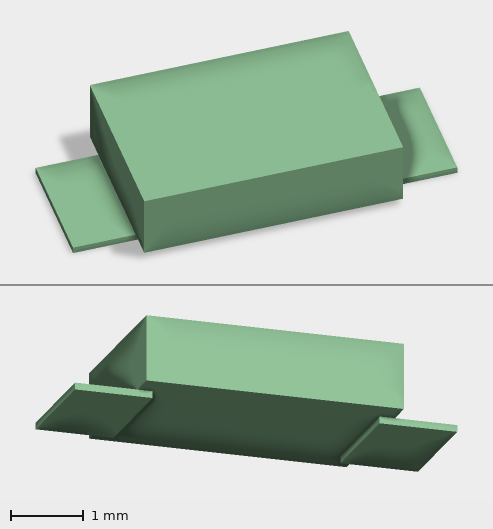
import cadquery as cq

overall_length = 5.52
overall_height = 1.05

lead_width = 1.715
lead_length = 1.12
lead_thickness = 0.1

housing_width = 2.5
housing_length = 3.72
housing_height = overall_height - lead_thickness


def make_housing():
    """Plain block centred in X and Y, with its underside on top of the leads."""
    return (
        cq.Workplane("XY")
        .workplane(offset=lead_thickness)
        .rect(housing_width, housing_length)
        .extrude(housing_height)
    )


def make_lead(side):
    """Flat strip at one end; side is -1 for the -Y end and +1 for the +Y end."""
    center_y = side * (overall_length - lead_length) / 2
    return (
        cq.Workplane("XY")
        .center(0, center_y)
        .rect(lead_width, lead_length)
        .extrude(lead_thickness)
    )


housing = make_housing()
leads = [make_lead(side) for side in (-1, 1)]

result = cq.Compound.makeCompound([housing.val(), *[lead.val() for lead in leads]])